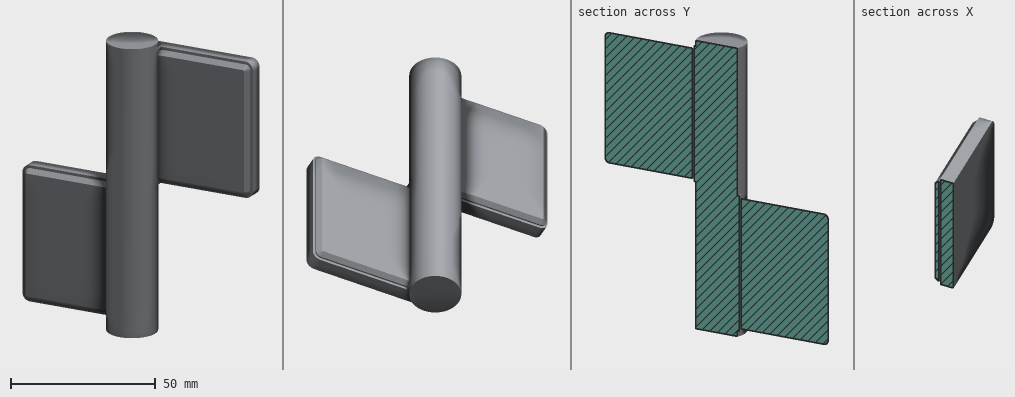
import cadquery as cq

barrel_length = 105.9
barrel_diameter = 18.0
barrel_radius = barrel_diameter / 2

overall_width = 90.0
leaf_reach = overall_width / 2
end_margin = 2.0
leaf_gap = 2.0
leaf_height = (barrel_length - leaf_gap) / 2 - end_margin
leaf_thickness = 5.0
leaf_corner_radius = 3.0
leaf_back = barrel_radius

panel_inset = 1.0
panel_height = 2.0
panel_chamfer = 1.5
root_slot_width = 0.5
root_slot_depth = panel_height - panel_chamfer


def box(x_min, x_max, y_front, y_back, z_min, z_max):
    size = (x_max - x_min, y_back - y_front, z_max - z_min)
    return cq.Workplane("XY").box(*size, centered=False).translate((x_min, y_front, z_min))


def make_leaf(bottom):
    """Leaf reaching toward -X, with its lower edge at the given height."""
    top = bottom + leaf_height
    plate_front = leaf_back - leaf_thickness
    panel_front = plate_front - panel_height

    plate = box(-leaf_reach, 0, plate_front, leaf_back, bottom, top)
    plate = plate.edges("|Y and <X").fillet(leaf_corner_radius)

    root = box(-barrel_radius, 0, 0, leaf_back, bottom, top)

    panel = box(
        -leaf_reach + panel_inset, 0,
        panel_front, plate_front,
        bottom + panel_inset, top - panel_inset,
    )
    panel = panel.edges("|Y and <X").fillet(leaf_corner_radius - panel_inset)
    free_edges = panel.faces("<Y").edges("not >X")
    panel = free_edges.chamfer(panel_chamfer)

    slot = box(
        -barrel_radius - root_slot_width, -barrel_radius,
        plate_front - root_slot_depth, plate_front,
        bottom, top,
    )
    return plate.union(panel.cut(slot)).union(root)


barrel = cq.Workplane("XY").circle(barrel_radius).extrude(barrel_length)

left_leaf = make_leaf(end_margin)
right_leaf = make_leaf(end_margin + leaf_height + leaf_gap).mirror("YZ")

result = barrel.union(left_leaf).union(right_leaf)